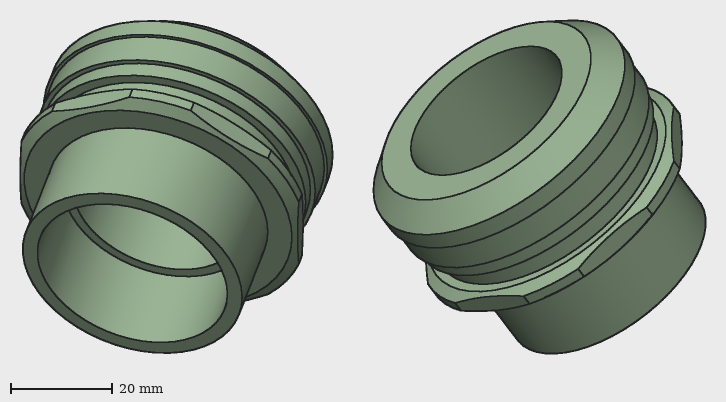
import cadquery as cq
import math

tube_length = 18.0
hex_thickness = 5.0
neck_length = 4.6
step_length = 3.3
body_length = 6.35
rim_length = 3.8
taper_length = 4.8

tube_diameter = 45.1
neck_diameter = 51.0
step_diameter = 55.0
body_diameter = 57.0
rim_diameter = 58.3
taper_end_diameter = 48.5
socket_diameter = 39.0
bore_diameter = 35.0
socket_depth = 18.15

hex_across_flats = 57.0
hex_corner_diameter = 59.85
hex_face_diameter = 55.0
hex_chamfer_angle = 30.0


def profile_plane(y):
    """XZ plane at the given Y, whose extrusions grow toward +Y."""
    return cq.Workplane(cq.Plane(origin=(0, y, 0), xDir=(1, 0, 0), normal=(0, 1, 0)))


def cylinder(diameter, start, length):
    return profile_plane(start).circle(diameter / 2).extrude(length)


def revolve_about_y(points):
    """Revolve an outline of (radius, y) points about the Y axis."""
    return cq.Workplane("XY").polyline(points).close().revolve(360, (0, 0, 0), (0, 1, 0))


def hex_flange(start):
    """Hexagon whose corners are rounded and chamfered on both faces."""
    end = start + hex_thickness
    face_radius = hex_face_diameter / 2
    corner_radius = hex_corner_diameter / 2
    chamfer = (corner_radius - face_radius) * math.tan(math.radians(hex_chamfer_angle))
    turned_blank = revolve_about_y([
        (0, start),
        (face_radius, start),
        (corner_radius, start + chamfer),
        (corner_radius, end - chamfer),
        (face_radius, end),
        (0, end),
    ])
    across_corners = hex_across_flats / math.cos(math.pi / 6)
    hexagon = (
        profile_plane(start)
        .transformed(rotate=(0, 0, 30))
        .polygon(6, across_corners)
        .extrude(hex_thickness)
    )
    return turned_blank.intersect(hexagon)


def tapered_rim(start):
    """Widest ring, narrowing as a cone to the cap end."""
    rim_end = start + rim_length
    return revolve_about_y([
        (0, start),
        (rim_diameter / 2, start),
        (rim_diameter / 2, rim_end),
        (taper_end_diameter / 2, rim_end + taper_length),
        (0, rim_end + taper_length),
    ])


hex_start = tube_length
neck_start = hex_start + hex_thickness
step_start = neck_start + neck_length
body_start = step_start + step_length
rim_start = body_start + body_length
total_length = rim_start + rim_length + taper_length

result = (
    cylinder(tube_diameter, 0, tube_length)
    .union(hex_flange(hex_start))
    .union(cylinder(neck_diameter, neck_start, neck_length))
    .union(cylinder(step_diameter, step_start, step_length))
    .union(cylinder(body_diameter, body_start, body_length))
    .union(tapered_rim(rim_start))
)

result = result.cut(cylinder(socket_diameter, 0, socket_depth))
result = result.cut(cylinder(bore_diameter, 0, total_length))